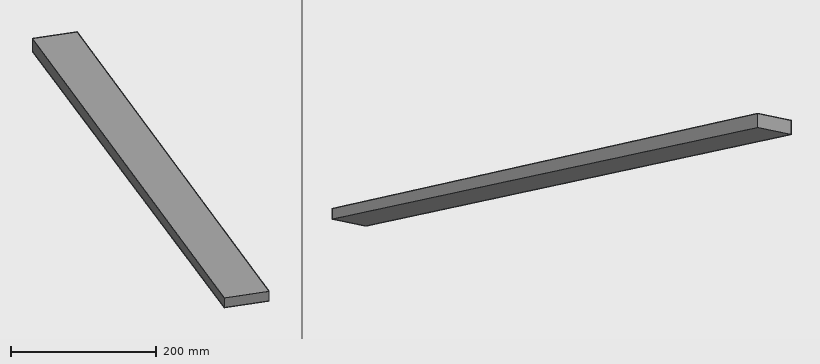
import cadquery as cq

length = 835.0
width = 65.0
tall_end_height = 20.0
low_end_height = 15.0

side_profile = [
    (-length / 2, 0),
    (length / 2, 0),
    (length / 2, low_end_height),
    (-length / 2, tall_end_height),
]

result = (
    cq.Workplane("XZ")
    .polyline(side_profile)
    .close()
    .extrude(width / 2, both=True)
)